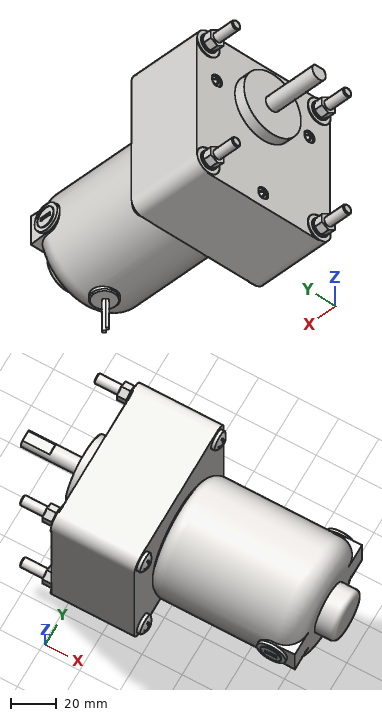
import cadquery as cq
import math


BOX_SIZE = 80.0
BOX_LENGTH = 41.4
CORNER_RADIUS = 6.8
PAD_HEIGHT = 0.5

OVERALL_HEIGHT = 89.5

SHAFT_Z = 14.8
SHAFT_RADIUS = 4.0
SHAFT_TIP_X = -35.5
SHAFT_FLAT_LENGTH = 13.7
SHAFT_FLAT_DEPTH = 1.0
BOSS_RADIUS = 17.0
BOSS_HEIGHT = 5.8

BOLT_OFFSET = BOX_SIZE / 2 - CORNER_RADIUS
BOLT_POSITIONS = [
    (y_side * BOLT_OFFSET, z_side * BOLT_OFFSET) for y_side in (-1, 1) for z_side in (-1, 1)
]
BOLT_DIAMETER = 5.0
BOLT_TIP_X = -18.4
BOLT_CHAMFER = 0.5
WASHER_RADIUS = 4.7
WASHER_THICKNESS = 0.8
NUT_CORNERS = 9.0
NUT_THICKNESS = 4.8
NUT_CHAMFER = 0.5
HEAD_RADIUS = 4.8
HEAD_RIM = 1.8
HEAD_HEIGHT = 3.9
HEAD_CROSS_LENGTH = 6.0
HEAD_CROSS_WIDTH = 1.0
HEAD_CROSS_DEPTH = 1.1

SCREW_POSITIONS = [(-27.7, 15.8), (27.7, 15.8), (0, -32.2)]
SCREW_SEAT_RADIUS = 3.0
SCREW_SEAT_DEPTH = 0.6
SCREW_RADIUS = 2.5
SCREW_RIM = 0.2
SCREW_HEIGHT = 1.3
SCREW_CROSS_LENGTH = 3.9
SCREW_CROSS_WIDTH = 0.5
SCREW_CROSS_DEPTH = 0.8

SPACER_THICKNESS = 0.5
MOTOR_RADIUS = 30.0
MOTOR_FRONT_X = BOX_LENGTH + SPACER_THICKNESS
MOTOR_REAR_X = 116.0
MOTOR_FRONT_FILLET = 7.1
MOTOR_REAR_FILLET = 10.1
SPACER_RADIUS = MOTOR_RADIUS - MOTOR_FRONT_FILLET
END_CAP_DIAMETER = 25.0
END_CAP_LENGTH = 9.7
END_CAP_FILLET = 2.3

BRUSH_X = 104.8
BRUSH_END_RADIUS = 7.4
BRUSH_REAR_HALF_HEIGHT = 8.0
CAP_RADIUS = 7.2
CAP_RIM_HEIGHT = 1.5
CAP_DISC_RADIUS = 5.2
CAP_DISC_HEIGHT = 0.5
CAP_SLOT_LENGTH = 6.0
CAP_SLOT_WIDTH = 1.6
CAP_SLOT_DEPTH = 1.0

GROMMET_X = 101.0
GROMMET_RADIUS = 7.0
GROMMET_BOTTOM_Z = -31.5
GROMMET_CHAMFER = 0.6
WIRE_RADIUS = 1.0
LONG_WIRE_Y = 0.2
LONG_WIRE_END_Z = BOX_SIZE / 2 - OVERALL_HEIGHT
SHORT_WIRE_X = GROMMET_X - 0.8
SHORT_WIRE_Y = -0.8
SHORT_WIRE_END_Z = -47.7


def rod(x_start, x_end, radius, y=0, z=0):
    """Cylinder along X between two X positions."""
    return cq.Workplane("YZ", origin=(x_start, y, z)).circle(radius).extrude(x_end - x_start)


def make_domed_head(radius, rim, height):
    """Round head on X = 0 that rises towards +X: a straight rim under a shallow dome."""
    dome_rise = height - rim
    sphere_radius = (radius**2 + dome_rise**2) / (2 * dome_rise)
    half_angle = math.asin(radius / sphere_radius) / 2
    arc_middle = (
        height - sphere_radius * (1 - math.cos(half_angle)),
        sphere_radius * math.sin(half_angle),
    )
    return (
        cq.Workplane("XY")
        .lineTo(0, radius)
        .lineTo(rim, radius)
        .threePointArc(arc_middle, (height, 0))
        .close()
        .revolve(360, (0, 0), (1, 0))
    )


def make_cross_bars(length, width, depth):
    """Two crossed bars that start at X = 0 and run towards -X."""
    bar = cq.Workplane("YZ").rect(length, width).extrude(-depth)
    return bar.union(bar.rotate((0, 0, 0), (1, 0, 0), 90))


def make_gearbox():
    """Rounded box with four low corner pads, the shaft boss and the screw seats."""
    gearbox = cq.Workplane("YZ").rect(BOX_SIZE, BOX_SIZE).extrude(BOX_LENGTH)
    gearbox = gearbox.edges("|X").fillet(CORNER_RADIUS)
    for y, z in BOLT_POSITIONS:
        gearbox = gearbox.union(rod(-PAD_HEIGHT, 0, CORNER_RADIUS, y, z))
    gearbox = gearbox.union(rod(-BOSS_HEIGHT, BOX_LENGTH / 2, BOSS_RADIUS, z=SHAFT_Z))
    for y, z in SCREW_POSITIONS:
        gearbox = gearbox.cut(rod(0, SCREW_SEAT_DEPTH, SCREW_SEAT_RADIUS, y, z))
    return gearbox


def make_shaft():
    shaft = rod(SHAFT_TIP_X, 0, SHAFT_RADIUS, z=SHAFT_Z)
    flat_cut = cq.Workplane("XY").box(
        SHAFT_FLAT_LENGTH, 2 * SHAFT_RADIUS, SHAFT_FLAT_DEPTH, centered=(False, True, False)
    )
    flat_z = SHAFT_Z + SHAFT_RADIUS - SHAFT_FLAT_DEPTH
    return shaft.cut(flat_cut.translate((SHAFT_TIP_X, 0, flat_z)))


def make_nut():
    """Hex nut with two corners along Z and its gearbox-side corners chamfered."""
    hexagon = cq.Workplane("YZ").polygon(6, NUT_CORNERS).extrude(NUT_THICKNESS)
    hexagon = hexagon.rotate((0, 0, 0), (1, 0, 0), 90)
    envelope = rod(0, NUT_THICKNESS, NUT_CORNERS / 2).faces(">X").chamfer(NUT_CHAMFER)
    return hexagon.intersect(envelope)


def make_bolt():
    """Corner bolt on the X axis with its washer, nut and cross-recessed rear head."""
    bolt = rod(BOLT_TIP_X, BOX_LENGTH, BOLT_DIAMETER / 2).faces("<X").chamfer(BOLT_CHAMFER)
    washer_x = -PAD_HEIGHT - WASHER_THICKNESS
    washer = rod(washer_x, 0, WASHER_RADIUS)
    nut = make_nut().translate((washer_x - NUT_THICKNESS, 0, 0))
    head = make_domed_head(HEAD_RADIUS, HEAD_RIM, HEAD_HEIGHT)
    cross = make_cross_bars(HEAD_CROSS_LENGTH, HEAD_CROSS_WIDTH, HEAD_CROSS_DEPTH)
    head = head.cut(cross.translate((HEAD_HEIGHT, 0, 0))).translate((BOX_LENGTH, 0, 0))
    return bolt.union(washer).union(nut).union(head)


def make_face_screw():
    """Cross-recessed domed screw head facing -X, standing on the floor of its seat."""
    head = make_domed_head(SCREW_RADIUS, SCREW_RIM, SCREW_HEIGHT)
    cross = make_cross_bars(SCREW_CROSS_LENGTH, SCREW_CROSS_WIDTH, SCREW_CROSS_DEPTH)
    head = head.cut(cross.translate((SCREW_HEIGHT, 0, 0)))
    return head.mirror("YZ").translate((SCREW_SEAT_DEPTH, 0, 0))


def make_motor():
    body = rod(MOTOR_FRONT_X, MOTOR_REAR_X, MOTOR_RADIUS)
    body = body.faces("<X").edges().fillet(MOTOR_FRONT_FILLET)
    body = body.faces(">X").edges().fillet(MOTOR_REAR_FILLET)
    spacer = rod(BOX_LENGTH, MOTOR_FRONT_X, SPACER_RADIUS)
    end_cap = rod(MOTOR_REAR_X, MOTOR_REAR_X + END_CAP_LENGTH, END_CAP_DIAMETER / 2)
    end_cap = end_cap.faces(">X").edges().fillet(END_CAP_FILLET)
    return body.union(spacer).union(end_cap)


def make_brush_block():
    """Round-ended block across the motor that holds both brushes."""
    return (
        cq.Workplane("XZ")
        .moveTo(MOTOR_REAR_X, BRUSH_REAR_HALF_HEIGHT)
        .lineTo(BRUSH_X, BRUSH_END_RADIUS)
        .threePointArc((BRUSH_X - BRUSH_END_RADIUS, 0), (BRUSH_X, -BRUSH_END_RADIUS))
        .lineTo(MOTOR_REAR_X, -BRUSH_REAR_HALF_HEIGHT)
        .close()
        .extrude(MOTOR_RADIUS, both=True)
    )


def make_brush_cap():
    """Stepped, slotted cap on the -Y end of the brush block."""
    cap = (
        cq.Workplane("XZ")
        .circle(CAP_RADIUS)
        .extrude(CAP_RIM_HEIGHT)
        .faces("<Y")
        .workplane()
        .circle(CAP_DISC_RADIUS)
        .extrude(CAP_DISC_HEIGHT)
        .faces("<Y")
        .workplane()
        .rect(CAP_SLOT_LENGTH, CAP_SLOT_WIDTH)
        .cutBlind(-CAP_SLOT_DEPTH)
    )
    return cap.translate((BRUSH_X, -MOTOR_RADIUS, 0))


def make_wire(x, y, end_z):
    return cq.Workplane("XY", origin=(x, y, end_z)).circle(WIRE_RADIUS).extrude(-MOTOR_RADIUS - end_z)


def make_cable_exit():
    grommet = (
        cq.Workplane("XY", origin=(GROMMET_X, 0, GROMMET_BOTTOM_Z))
        .circle(GROMMET_RADIUS)
        .extrude(MOTOR_RADIUS / 2)
        .faces("<Z")
        .edges()
        .chamfer(GROMMET_CHAMFER)
    )
    long_wire = make_wire(GROMMET_X, LONG_WIRE_Y, LONG_WIRE_END_Z)
    short_wire = make_wire(SHORT_WIRE_X, SHORT_WIRE_Y, SHORT_WIRE_END_Z)
    return grommet.union(long_wire).union(short_wire)


result = make_gearbox().union(make_shaft()).union(make_motor())

for bolt_y, bolt_z in BOLT_POSITIONS:
    result = result.union(make_bolt().translate((0, bolt_y, bolt_z)))

for screw_y, screw_z in SCREW_POSITIONS:
    result = result.union(make_face_screw().translate((0, screw_y, screw_z)))

brush_cap = make_brush_cap()
result = result.union(make_brush_block()).union(brush_cap).union(brush_cap.mirror("XZ"))
result = result.union(make_cable_exit())